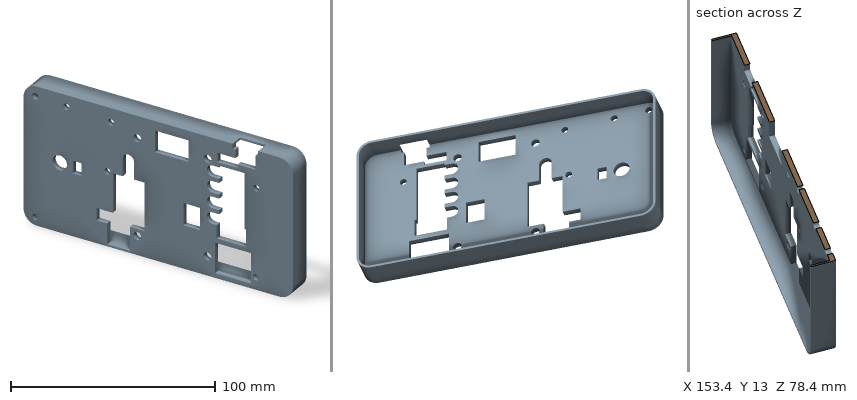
import cadquery as cq


length = 153.4
height = 78.4
depth = 13.0
wall = 1.2
panel_thickness = 3.0
corner_radius = 7.7

post_hole_diameter = 3.5
post_hole_centers = [
    (6.7, 4.7),
    (6.7, 72.7),
    (24.4, 71.8),
    (49.7, 70.4),
    (47.7, 42.2),
    (132.6, 57.2),
    (132.4, 7.0),
]
board_hole_diameter = 4.3
board_hole_left = 64.8
board_hole_bottom = 10.8
board_hole_pitch_x = 40.0
board_hole_pitch_z = 55.0
knob_hole_diameter = 8.2
knob_hole_x = 20.6

windows = [
    (28.2, 35.5, 4.8, 7.0),
    (74.9, 60.9, 19.0, 12.1),
    (91.0, 24.4, 9.4, 12.5),
    (109.1, 2.7, 20.4, 17.1),
]

stepped_left = 50.8
stepped_right = 68.9
stepped_top = 42.0
stepped_shoulder = 14.7
foot_left = 47.6
foot_right = 60.5
side_arm_left = 41.6
side_arm_bottom = 12.9
side_arm_top = 19.8
neck_center_x = 59.65
neck_width = 6.4
neck_top = 55.1

terminal_left = 111.4
terminal_right = 125.8
terminal_top = 63.8
terminal_base_left = 110.0
terminal_base_right = 126.7
terminal_base_bottom = 22.5
terminal_base_top = 32.3
finger_count = 4
finger_pitch = 8.8
finger_width = 6.5
finger_tip_x = 104.4
lowest_finger_z = 33.2

notch_left = 119.1
notch_right = 133.6
notch_bottom = 75.6
notch_depth = 7.2
connector_left = 120.7
connector_right = 132.2
connector_bottom = 67.5
latch_left = 110.4
latch_right = 121.9
latch_bottom = 65.6
latch_top = 70.7


def block(left, right, bottom, top, front, back):
    """Box between the given limits in X, Z and Y."""
    return cq.Workplane("XY").box(
        right - left, back - front, top - bottom, centered=False
    ).translate((left, front, bottom))


def panel_block(left, right, bottom, top):
    """Box that cuts through the panel only."""
    return block(left, right, bottom, top, 0, panel_thickness)


def panel_cylinders(centers, diameter):
    """Cylinders along Y that cut through the panel only."""
    return (
        cq.Workplane("XZ")
        .pushPoints(centers)
        .circle(diameter / 2)
        .extrude(-panel_thickness)
    )


def make_tray():
    outer = block(0, length, 0, height, 0, depth).edges("|Y").fillet(corner_radius)
    cavity = (
        block(wall, length - wall, wall, height - wall, panel_thickness, depth)
        .edges("|Y")
        .fillet(corner_radius - wall)
    )
    return outer.cut(cavity)


def cut_round_holes(body):
    board_hole_centers = [
        (board_hole_left + column * board_hole_pitch_x, board_hole_bottom + row * board_hole_pitch_z)
        for column in range(2)
        for row in range(2)
    ]
    body = body.cut(panel_cylinders(post_hole_centers, post_hole_diameter))
    body = body.cut(panel_cylinders(board_hole_centers, board_hole_diameter))
    return body.cut(panel_cylinders([(knob_hole_x, height / 2)], knob_hole_diameter))


def cut_windows(body):
    for left, bottom, window_width, window_height in windows:
        body = body.cut(panel_block(left, left + window_width, bottom, bottom + window_height))
    return body


def cut_stepped_opening(body):
    neck_left = neck_center_x - neck_width / 2
    neck_right = neck_center_x + neck_width / 2
    neck_arc_z = neck_top - neck_width / 2
    opening = (
        cq.Workplane("XZ")
        .moveTo(foot_left, wall)
        .lineTo(foot_right, wall)
        .lineTo(foot_right, stepped_shoulder)
        .lineTo(stepped_right, stepped_shoulder)
        .lineTo(stepped_right, stepped_top)
        .lineTo(neck_right, stepped_top)
        .lineTo(neck_right, neck_arc_z)
        .threePointArc((neck_center_x, neck_top), (neck_left, neck_arc_z))
        .lineTo(neck_left, stepped_top)
        .lineTo(stepped_left, stepped_top)
        .lineTo(stepped_left, side_arm_top)
        .lineTo(side_arm_left, side_arm_top)
        .lineTo(side_arm_left, side_arm_bottom)
        .lineTo(foot_left, side_arm_bottom)
        .close()
        .extrude(-panel_thickness)
    )
    return body.cut(opening)


def cut_terminal_opening(body):
    body = body.cut(panel_block(terminal_left, terminal_right, terminal_base_top, terminal_top))
    body = body.cut(
        panel_block(terminal_base_left, terminal_base_right, terminal_base_bottom, terminal_base_top)
    )
    finger_radius = finger_width / 2
    finger_arc_x = finger_tip_x + finger_radius
    finger_heights = [lowest_finger_z + index * finger_pitch for index in range(finger_count)]
    for finger_z in finger_heights:
        body = body.cut(
            panel_block(finger_arc_x, terminal_left, finger_z - finger_radius, finger_z + finger_radius)
        )
    tip_centers = [(finger_arc_x, finger_z) for finger_z in finger_heights]
    return body.cut(panel_cylinders(tip_centers, finger_width))


def cut_connector_opening(body):
    body = body.cut(block(notch_left, notch_right, notch_bottom, height, 0, notch_depth))
    body = body.cut(panel_block(connector_left, connector_right, connector_bottom, notch_bottom))
    return body.cut(panel_block(latch_left, latch_right, latch_bottom, latch_top))


result = make_tray()
result = cut_round_holes(result)
result = cut_windows(result)
result = cut_stepped_opening(result)
result = cut_terminal_opening(result)
result = cut_connector_opening(result)